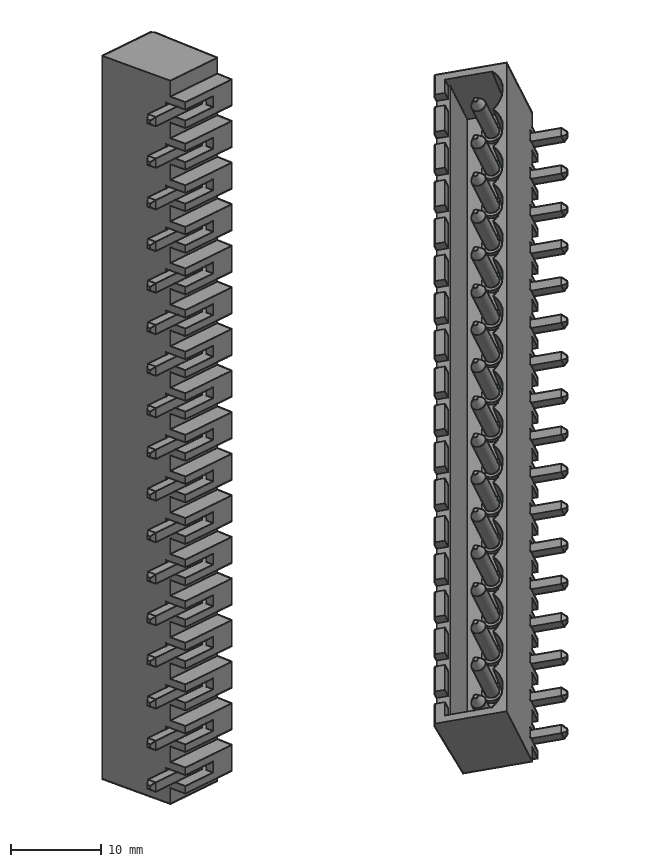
import cadquery as cq

pin_count = 17
length = 88.4
total_depth = 12.2
housing_depth = 10.0
crest_y = 8.5
mouth_y = 8.2
crest_x = 0.35
back_y = 7.9
end_margin = 3.5
pitch = (length - 2 * end_margin) / (pin_count - 1)

cavity_depth = 7.95
cavity_end_wall = 0.9
cavity_top_y = 6.9
cavity_low_y = 1.85
lip_depth = 1.2
lip_step = 0.22
scallop_mouth_radius = 3.45
scallop_floor_radius = 3.2
key_notch_width = 1.7

tooth_width = 3.2
slot_width = 1.3
slot_front_x = 9.3
slot_back_x = 11.2
slot_open_y = 4.7

pin_y = 3.9
pin_width = 1.15
pin_tip_width = 0.4
pin_tip_length = 0.5
pin_front_x = 1.1
tail_x = 10.25
tail_length = 4.0
collar_radius = 1.2
collar_height = 0.4
contact_radius = 0.84
contact_tip_radius = 0.3
contact_tip_length = 1.1

pin_levels = [end_margin + i * pitch for i in range(pin_count)]


def box(x0, x1, y0, y1, z0, z1):
    """Box given by its limits along each axis."""
    return cq.Workplane("XY").box(x1 - x0, y1 - y0, z1 - z0, centered=False).translate((x0, y0, z0))


def at_every_pin(make_shape):
    """One separate copy of a feature at each pin level."""
    copies = [make_shape(z).val() for z in pin_levels]
    return cq.Workplane(obj=cq.Compound.makeCompound(copies))


def housing_slab(x_end, z0, z1):
    """Slice of the housing section, from the mating face to x_end."""
    slope = (back_y - crest_y) / (total_depth - crest_x)
    end_y = crest_y + slope * (x_end - crest_x)
    outline = [(0, 0), (x_end, 0), (x_end, end_y), (crest_x, crest_y), (0, mouth_y)]
    return cq.Workplane("XY").polyline(outline).close().extrude(z1 - z0).translate((0, 0, z0))


def tooth(z):
    """Slice of the housing that reaches back around one pin."""
    return housing_slab(total_depth, z - tooth_width / 2, z + tooth_width / 2)


def scallop(z):
    """Tapered round bay of the cavity around one pin."""
    cone = cq.Solid.makeCone(
        scallop_mouth_radius, scallop_floor_radius, cavity_depth, cq.Vector(0, pin_y, z), cq.Vector(1, 0, 0)
    )
    return cq.Workplane(obj=cone)


def cavity():
    """Space inside the walls, with a wider lip and a scalloped -Y side."""
    z0 = cavity_end_wall
    z1 = length - cavity_end_wall
    space = box(0, cavity_depth, cavity_low_y, cavity_top_y, z0, z1)
    space = space.union(box(0, lip_depth, pin_y, cavity_top_y + lip_step, z0, z1))
    limits = box(0, cavity_depth, 0, cavity_top_y, z0, z1)
    for z in pin_levels:
        space = space.union(scallop(z).intersect(limits))
    return space


def pin_slot(z):
    """Slot through one tooth, open to the back only on its -Y side."""
    z0 = z - slot_width / 2
    z1 = z + slot_width / 2
    through = box(slot_front_x, slot_back_x, 0, crest_y, z0, z1)
    return through.union(box(slot_front_x, total_depth, 0, slot_open_y, z0, z1))


def key_notch(z):
    """Notch in the rim of the +Y wall."""
    return box(0, lip_depth, cavity_top_y, crest_y, z - key_notch_width / 2, z + key_notch_width / 2)


def round_bar(x, z, start_radius, end_radius, bar_length):
    """Cylinder or cone on the pin axis, running from x towards the mating face."""
    start = cq.Vector(x, pin_y, z)
    towards_mouth = cq.Vector(-1, 0, 0)
    if start_radius == end_radius:
        solid = cq.Solid.makeCylinder(start_radius, bar_length, start, towards_mouth)
    else:
        solid = cq.Solid.makeCone(start_radius, end_radius, bar_length, start, towards_mouth)
    return cq.Workplane(obj=solid)


def tail(z):
    """Square pin tail along -Y, ending in a blunt pyramid."""
    bend_y = pin_y + pin_width / 2
    straight = bend_y + tail_length - pin_tip_length
    plane = cq.Plane((tail_x, bend_y, z), xDir=(1, 0, 0), normal=(0, -1, 0))
    bar = cq.Workplane(plane).rect(pin_width, pin_width).extrude(straight)
    tip = (
        cq.Workplane(plane)
        .workplane(offset=straight)
        .rect(pin_width, pin_width)
        .workplane(offset=pin_tip_length)
        .rect(pin_tip_width, pin_tip_width)
        .loft(ruled=True)
    )
    return bar.union(tip)


def pin(z):
    """Bent pin: round contact with a collar on the cavity floor, square shank and tail."""
    half = pin_width / 2
    shank = box(cavity_depth, tail_x + half, pin_y - half, pin_y + half, z - half, z + half)
    tip_start_x = pin_front_x + contact_tip_length
    contact = round_bar(cavity_depth, z, contact_radius, contact_radius, cavity_depth - tip_start_x)
    contact_tip = round_bar(tip_start_x, z, contact_radius, contact_tip_radius, contact_tip_length)
    collar = round_bar(cavity_depth, z, collar_radius, collar_radius, collar_height)
    return shank.union(tail(z)).union(contact).union(contact_tip).union(collar)


body = housing_slab(housing_depth, 0, length)
body = body.union(at_every_pin(tooth))
body = body.cut(cavity())
body = body.cut(at_every_pin(pin_slot))
body = body.cut(at_every_pin(key_notch))
body = body.union(at_every_pin(pin))
result = cq.Workplane(obj=body.solids().val())